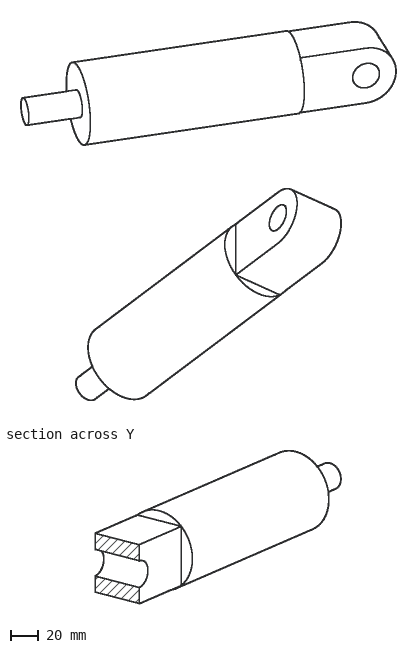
import cadquery as cq

body_diameter = 60.0
body_length = 160.0
rod_diameter = 20.0
rod_length = 40.0
lug_width = 40.0
lug_height = 45.0
lug_length = 71.68
eye_diameter = 20.0

lug_radius = lug_height / 2
body_rear = body_length
eye_position = body_rear + lug_length - lug_radius


def cylinder_along_y(diameter, start, length):
    """Solid cylinder on the Y axis, growing from start towards +Y."""
    plane = cq.Workplane("XZ", origin=(0, start, 0))
    return plane.circle(diameter / 2).extrude(-length)


def make_lug():
    """Flat lug with a full-round end and a cross hole concentric with it."""
    profile = (
        cq.Workplane("YZ")
        .moveTo(body_rear, -lug_radius)
        .lineTo(eye_position, -lug_radius)
        .threePointArc((eye_position + lug_radius, 0), (eye_position, lug_radius))
        .lineTo(body_rear, lug_radius)
        .close()
    )
    lug = profile.extrude(lug_width / 2, both=True)
    eye = (
        cq.Workplane("YZ")
        .center(eye_position, 0)
        .circle(eye_diameter / 2)
        .extrude(lug_width / 2, both=True)
    )
    return lug.cut(eye)


body = cylinder_along_y(body_diameter, 0, body_length)
rod = cylinder_along_y(rod_diameter, -rod_length, rod_length)

result = body.union(rod).union(make_lug())